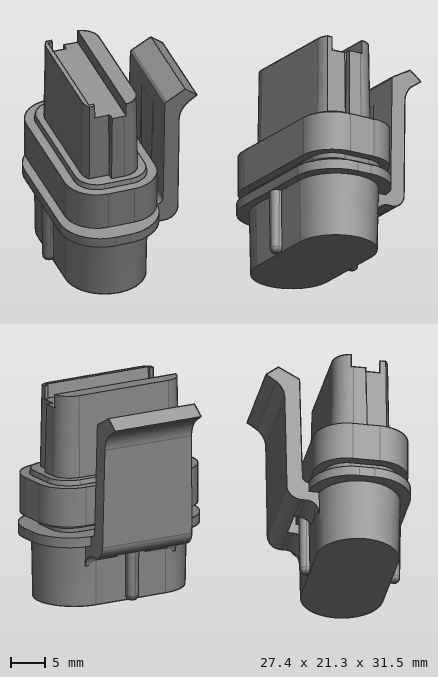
import cadquery as cq
import math


height = 31.5
flange_bottom = 9.5
flange_top = 11.0
lip_bottom = 11.9
seal_bottom = 12.6
seal_top = 18.43
lip_top = 19.15
slot_floor = 29.48

body_width, body_depth = 23.95, 12.1
flange_width, flange_depth, flange_corner = 27.35, 15.03, 6.35
neck_width, neck_depth, neck_corner = 21.3, 9.0, 3.02
seal_width, seal_depth, seal_corner = 26.2, 13.95, 4.98
lip_width, lip_depth, lip_corner = 23.37, 11.1, 3.5
nose_width, nose_depth, nose_corner = 21.05, 8.63, 2.9

body_flare = 0.2
lip_lean = 0.2
nose_lean = 0.22

rib_width, rib_span, rib_corner = 1.7, 14.75, 0.8
rib_flare = 0.13
rib_end_radius = 0.75

tongue_width = 18.9
tongue_shoulder_y = -0.6
slot_back_y = 1.73
slot_front_y = -2.75
recess_width = 17.4
recess_floor_y = -3.05
recess_rim_y = -3.43

overall_depth = 21.33
latch_tip_y = overall_depth - flange_depth / 2
latch_tip = (latch_tip_y, 28.5)
latch_peak = (11.97, 29.95)
latch_shoulder = (8.82, 28.22)
latch_inner_corner = (8.45, flange_top)
latch_heel = (10.7, 8.03)
latch_curve_top = (12.35, 27.53)
latch_curve_middle = (11.5, 26.55)
latch_curve_end = (11.02, 24.9)
latch_inset = 0.63
latch_foot_width = 15.3
latch_head_width = 14.62
latch_shoulder_radius = 0.5
latch_inner_radius = 0.95
latch_heel_radius = 2.05
latch_root_radius = 1.9
latch_gap_width = 4.85
latch_gap_end_y = 8.75


def draft_angle(lean, rise):
    return math.degrees(math.atan2(lean, rise))


def rounded_prism(width, depth, corner, bottom, top, lean=0.0):
    """Rounded rectangle sized at its lower end, with walls leaning inwards by lean."""
    outline = cq.Sketch().rect(width, depth).vertices().fillet(corner)
    rise = top - bottom
    base = cq.Workplane(origin=(0, 0, bottom)).placeSketch(outline)
    return base.extrude(rise, taper=draft_angle(lean, rise))


def box_between(x_range, y_range, z_range):
    sizes = [high - low for low, high in (x_range, y_range, z_range)]
    corner = (x_range[0], y_range[0], z_range[0])
    return cq.Workplane(origin=corner).box(*sizes, centered=False)


def extrude_across(profile, width):
    """Extrude a YZ profile symmetrically about the X = 0 plane."""
    return profile.extrude(width / 2, both=True)


def make_body():
    body_draft = draft_angle(-body_flare, flange_bottom)
    body = cq.Workplane().slot2D(body_width, body_depth).extrude(flange_bottom, taper=body_draft)
    ribs = rounded_prism(rib_width, rib_span, rib_corner, 0, flange_bottom, -rib_flare)
    return body.union(ribs.faces("<Z").edges().fillet(rib_end_radius))


def make_collar():
    flange = rounded_prism(flange_width, flange_depth, flange_corner, flange_bottom, flange_top)
    neck = rounded_prism(neck_width, neck_depth, neck_corner, flange_top, lip_bottom)
    lower_lip = rounded_prism(
        lip_width - 2 * lip_lean, lip_depth - 2 * lip_lean, lip_corner - lip_lean,
        lip_bottom, seal_bottom, -lip_lean)
    seal = rounded_prism(seal_width, seal_depth, seal_corner, seal_bottom, seal_top)
    upper_lip = rounded_prism(lip_width, lip_depth, lip_corner, seal_top, lip_top, lip_lean)
    return flange.union(neck).union(lower_lip).union(seal).union(upper_lip)


def make_nose():
    nose = rounded_prism(nose_width, nose_depth, nose_corner, lip_top, height, nose_lean)

    tongue_half = tongue_width / 2
    reach = nose_width
    rise = height - lip_top
    stepped = (
        cq.Workplane(origin=(0, 0, lip_top))
        .polyline([
            (-reach, reach), (-reach, tongue_shoulder_y), (-tongue_half, tongue_shoulder_y),
            (-tongue_half, -reach), (tongue_half, -reach), (tongue_half, tongue_shoulder_y),
            (reach, tongue_shoulder_y), (reach, reach)])
        .close()
        .extrude(rise, taper=draft_angle(nose_lean, rise))
    )
    nose = nose.intersect(stepped)

    slot = box_between((-reach, reach), (slot_front_y, slot_back_y), (slot_floor, height))
    recess = extrude_across(
        cq.Workplane("YZ").polyline([
            (slot_back_y, slot_floor), (recess_floor_y, slot_floor),
            (recess_rim_y, height), (slot_back_y, height)]).close(),
        recess_width)
    return nose.cut(slot).cut(recess)


def make_latch():
    body_back = body_depth / 2
    foot_end = body_back - latch_inset
    foot_bottom = latch_heel[1] - latch_root_radius
    latch = extrude_across(
        cq.Workplane("YZ")
        .moveTo(*latch_tip)
        .lineTo(*latch_peak)
        .lineTo(*latch_shoulder)
        .lineTo(*latch_inner_corner)
        .lineTo(foot_end, flange_top)
        .lineTo(foot_end, foot_bottom)
        .lineTo(body_back, foot_bottom)
        .radiusArc((body_back + latch_root_radius, latch_heel[1]), latch_root_radius)
        .lineTo(*latch_heel)
        .lineTo(*latch_curve_end)
        .threePointArc(latch_curve_middle, latch_curve_top)
        .close(),
        latch_foot_width)

    for corner, radius in (
            (latch_shoulder, latch_shoulder_radius),
            (latch_inner_corner, latch_inner_radius),
            (latch_heel, latch_heel_radius)):
        nearest = cq.selectors.NearestToPointSelector((0, *corner))
        latch = latch.edges("|X").edges(nearest).fillet(radius)

    foot_half = latch_foot_width / 2
    head_half = latch_head_width / 2
    side_limits = (
        cq.Workplane("XZ")
        .polyline([
            (-foot_half, foot_bottom), (foot_half, foot_bottom),
            (head_half, latch_peak[1]), (-head_half, latch_peak[1])])
        .close()
        .extrude(-overall_depth)
    )
    gap_half = latch_gap_width / 2
    gap = box_between((-gap_half, gap_half), (0, latch_gap_end_y), (0, height))
    return latch.intersect(side_limits).cut(gap)


result = make_body().union(make_collar()).union(make_nose()).union(make_latch())